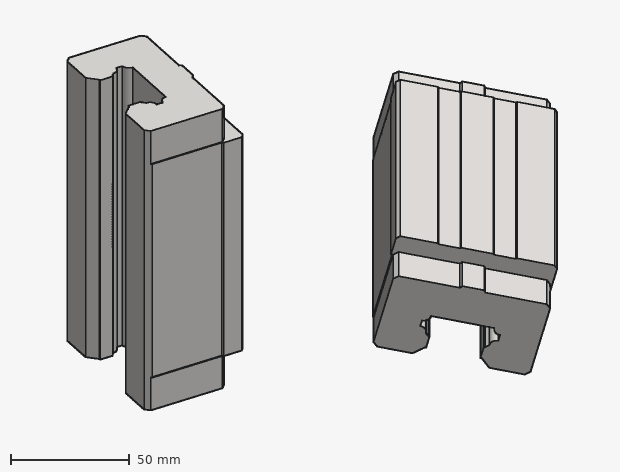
import cadquery as cq
import math

length = 138.5
block_length = 105.8
block_width = 70.0
block_top = 47.5

block_half_width = block_width / 2
block_top_chamfer = 1.5
lower_half_width = 34.5
left_step_y = 24.5
right_step_y = 37.1
step_drop = 0.5
bottom_flat_half = 32.0
groove_inner = 6.9
groove_outer = 17.2
groove_depth = 0.4
groove_ramp = 0.4

cap_half_width = 34.1
cap_top = 39.0
cap_top_chamfer = 2.0
crown_height = 1.1
crown_half_width = 4.7
crown_foot_half_width = 5.5

ball_radius = 3.2
pocket_half = 16.9
pocket_bottom = 15.1
channel_top = 21.3
nose_half = 11.8
nose_land = 0.5
nose_bottom = 4.3
nose_top = 10.5


def mirror_image(points):
    """Mirror a chain of points across X = 0, running it the other way."""
    return [(-x, y) for x, y in reversed(points)]


def extrude_centred(profile, depth):
    """Extrude a closed profile evenly to both sides of Z = 0."""
    return profile.extrude(depth / 2, both=True)


def make_block():
    """Block with a stepped side: each side pad ends at its own height."""
    bottom_chamfer = lower_half_width - bottom_flat_half
    groove_floor = block_top - groove_depth

    def side(step_y):
        return [
            (bottom_flat_half, 0),
            (lower_half_width, bottom_chamfer),
            (lower_half_width, step_y - step_drop),
            (block_half_width, step_y),
            (block_half_width, block_top - block_top_chamfer),
            (block_half_width - block_top_chamfer, block_top),
            (groove_outer, block_top),
            (groove_outer - groove_ramp, groove_floor),
            (groove_inner + groove_ramp, groove_floor),
            (groove_inner, block_top),
        ]

    outline = side(right_step_y) + mirror_image(side(left_step_y))
    profile = cq.Workplane("XY").polyline(outline).close()
    return extrude_centred(profile, block_length)


def make_caps():
    """Full-length cap body; the block swallows its middle stretch."""
    bottom_chamfer = cap_half_width - bottom_flat_half
    right = [
        (bottom_flat_half, 0),
        (cap_half_width, bottom_chamfer),
        (cap_half_width, cap_top - cap_top_chamfer),
        (cap_half_width - cap_top_chamfer, cap_top),
        (crown_foot_half_width, cap_top),
        (crown_half_width, cap_top + crown_height),
    ]
    profile = cq.Workplane("XY").polyline(right + mirror_image(right)).close()
    return extrude_centred(profile, length)


def make_channel():
    """Channel whose walls bulge inwards around two ball rows on each side."""
    lower_ball_y = pocket_bottom - ball_radius
    pocket_top = channel_top - ball_radius
    neck_half = pocket_half - ball_radius
    land_half = nose_half + nose_land
    arc_mid = ball_radius * math.sqrt(0.5)
    mouth_half = land_half + nose_bottom

    right_half = (
        cq.Workplane("XY")
        .moveTo(0, 0)
        .lineTo(mouth_half, 0)
        .lineTo(land_half, nose_bottom)
        .lineTo(nose_half, nose_bottom)
        .lineTo(nose_half, nose_top)
        .lineTo(land_half, nose_top)
        .lineTo(neck_half, lower_ball_y)
        .threePointArc((pocket_half - arc_mid, lower_ball_y + arc_mid), (pocket_half, pocket_bottom))
        .lineTo(pocket_half, pocket_top)
        .threePointArc((pocket_half - arc_mid, channel_top - arc_mid), (neck_half, channel_top))
        .lineTo(0, channel_top)
        .close()
    )
    half_channel = extrude_centred(right_half, length)
    return half_channel.union(half_channel.mirror("YZ"))


result = make_block().union(make_caps()).cut(make_channel())